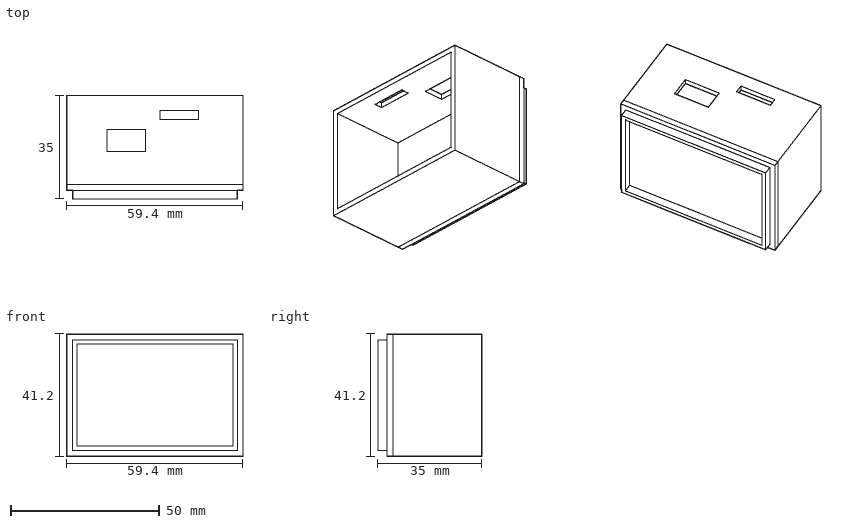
import cadquery as cq

width = 59.4
height = 41.2
total_depth = 35.0

wall = 1.95
lid_thickness = 2.0
rim_depth = 2.95
rim_wall = 1.5
housing_depth = total_depth - lid_thickness - rim_depth

mouth_width = width - 2 * wall
mouth_height = height - 2 * wall

opening_width = 13.0
narrow_opening_length = 2.95
narrow_opening_left = 31.35
narrow_opening_from_back = 5.1
wide_opening_length = 7.5
wide_opening_left = 13.55
wide_opening_from_back = 11.5


def block(x_size, y_size, z_size, front_y):
    """Box centred on X and Z that runs toward +Y from front_y."""
    return (
        cq.Workplane("XY")
        .box(x_size, y_size, z_size, centered=(True, False, True))
        .translate((0, front_y, 0))
    )


def top_opening(left, from_back, length):
    """Cutter for a rectangular opening through the top wall."""
    return (
        cq.Workplane("XY")
        .box(opening_width, length, wall, centered=False)
        .translate((left - width / 2, housing_depth - from_back - length, height / 2 - wall))
    )


def make_housing():
    """Box with a front wall at Y = 0, an open back and two openings in the top."""
    shell = block(width, housing_depth, height, 0)
    cavity = block(mouth_width, housing_depth - wall, mouth_height, wall)
    narrow = top_opening(narrow_opening_left, narrow_opening_from_back, narrow_opening_length)
    wide = top_opening(wide_opening_left, wide_opening_from_back, wide_opening_length)
    return shell.cut(cavity).cut(narrow).cut(wide)


def make_lid():
    """Plate against the front wall, with a raised rim facing -Y."""
    rim_front = -lid_thickness - rim_depth
    plate = block(width, lid_thickness, height, -lid_thickness)
    rim = block(mouth_width, rim_depth, mouth_height, rim_front)
    recess = block(mouth_width - 2 * rim_wall, rim_depth, mouth_height - 2 * rim_wall, rim_front)
    return plate.union(rim).cut(recess)


housing = make_housing()
lid = make_lid()

result = cq.Compound.makeCompound([housing.val(), lid.val()])